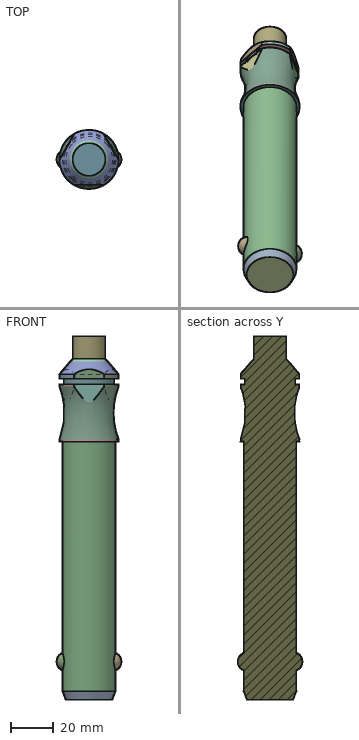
import cadquery as cq

total_height = 172.0
tip_height = 4.1
ball_height = 18.0
grip_bottom = 122.2
rim_height = 1.0
grip_top = 149.2
flange_bottom = 151.8
flange_top = 154.0
cone_top = 160.0
stem_base = 161.2

tip_radius = 11.0
shank_radius = 12.5
grip_radius = 14.02
waist_radius = 11.7
neck_radius = 12.0
cone_top_radius = 9.0
stem_radius = 7.7

ball_radius = 4.5
ball_span = 30.8
ball_offset = ball_span / 2 - ball_radius

flat_count = 3
flat_distance = neck_radius
first_flat_angle = -90.0

lower_rim = grip_bottom + rim_height
upper_rim = grip_top - rim_height
waist_height = (lower_rim + upper_rim) / 2


def turned_body():
    """Half profile in XZ, revolved about the Z axis."""
    profile = (
        cq.Workplane("XZ")
        .moveTo(0, 0)
        .lineTo(tip_radius, 0)
        .lineTo(shank_radius, tip_height)
        .lineTo(shank_radius, grip_bottom)
        .lineTo(grip_radius, grip_bottom)
        .lineTo(grip_radius, lower_rim)
        .threePointArc((waist_radius, waist_height), (grip_radius, upper_rim))
        .lineTo(grip_radius, grip_top)
        .lineTo(neck_radius, grip_top)
        .lineTo(neck_radius, flange_bottom)
        .lineTo(grip_radius, flange_bottom)
        .lineTo(grip_radius, flange_top)
        .lineTo(cone_top_radius, cone_top)
        .lineTo(stem_radius, stem_base)
        .lineTo(stem_radius, total_height)
        .lineTo(0, total_height)
        .close()
    )
    return profile.revolve(360, (0, 0, 0), (0, 1, 0))


def locking_ball(side):
    return cq.Workplane("XY").sphere(ball_radius).translate((side * ball_offset, 0, ball_height))


def flat_block(angle):
    """Block outside one flat, reaching from the waist to the stem base."""
    block = cq.Workplane("XY").box(
        grip_radius, 2 * grip_radius, stem_base - waist_height, centered=(False, True, False)
    )
    block = block.translate((flat_distance, 0, waist_height))
    return block.rotate((0, 0, 0), (0, 0, 1), angle)


result = turned_body()
for index in range(flat_count):
    result = result.cut(flat_block(first_flat_angle + index * 360 / flat_count))
for side in (-1, 1):
    result = result.union(locking_ball(side))